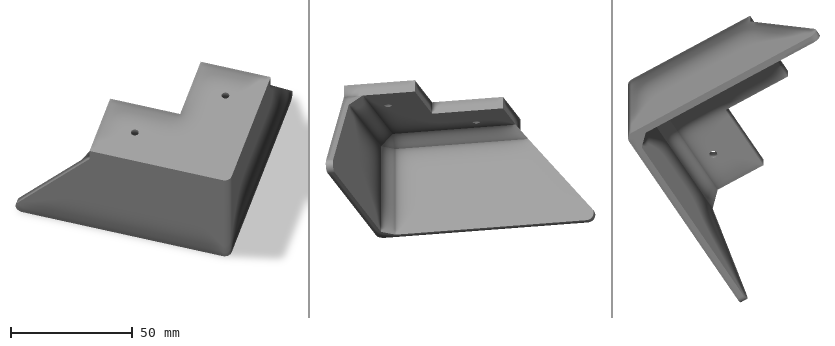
import cadquery as cq
import math

length = 91.8
height = 47.0
wall = 3.0
plate = 5.0
plate_side = 60.0
arm_width = plate_side / 2
web = 5.0
corner_radius = 3.0
foot_radius = 3.0
hole_diameter = 3.2

plate_end = length - plate_side
plate_bottom = height - plate
inner = length - wall


def wall_profile():
    """Side outline: distance from the tip along the wall, and height."""
    run = plate_end - foot_radius
    rise = plate_bottom - foot_radius
    reach = math.hypot(run, rise)
    angle = math.atan2(rise, run) + math.asin(foot_radius / reach)

    def tip_point(direction):
        return (
            foot_radius * (1 + math.cos(direction)),
            foot_radius * (1 + math.sin(direction)),
        )

    return (
        cq.Workplane("XZ")
        .moveTo(foot_radius, 0)
        .threePointArc((0, foot_radius), tip_point(math.pi / 2 + angle))
        .lineTo(plate_end, plate_bottom)
        .lineTo(plate_end, height)
        .lineTo(length, height)
        .lineTo(length, 0)
        .close()
    )


def make_wall():
    """Wall along X with its outer face on Y = 0."""
    return wall_profile().extrude(-wall)


def make_plate_web():
    """Triangular web under the plate, trimmed to the wall outline."""
    web_bar = (
        cq.Workplane("YZ")
        .moveTo(wall, plate_bottom)
        .lineTo(wall + web, plate_bottom)
        .lineTo(wall, plate_bottom - web)
        .close()
        .extrude(inner)
    )
    return web_bar.intersect(wall_profile().extrude(-length))


def mirror_across_diagonal(body):
    """Swap the two walls about the vertical plane through the outer corner."""
    middle = (length / 2, length / 2, 0)
    return body.mirror(cq.Vector(1, 1, 0), middle)


def make_plate():
    """L-shaped top plate."""
    return (
        cq.Workplane("XY", origin=(0, 0, plate_bottom))
        .moveTo(plate_end, 0)
        .lineTo(length, 0)
        .lineTo(length, plate_side)
        .lineTo(length - arm_width, plate_side)
        .lineTo(length - arm_width, arm_width)
        .lineTo(plate_end, arm_width)
        .close()
        .extrude(plate)
    )


def make_corner_web():
    """Vertical triangular web between the two walls."""
    return (
        cq.Workplane("XY")
        .moveTo(inner, wall)
        .lineTo(inner - web, wall)
        .lineTo(inner, wall + web)
        .close()
        .extrude(plate_bottom)
    )


def make_corner_block():
    """Cube where the three webs meet, with one triangular facet joining their ends."""
    block = cq.Workplane("XY", origin=(inner - web, wall, plate_bottom - web)).box(
        web, web, web, centered=False
    )
    facet_plane = cq.Plane(
        origin=(inner - web, wall, plate_bottom - web),
        normal=(-1, 1, -1),
    )
    beyond_facet = cq.Workplane(facet_plane).rect(4 * web, 4 * web).extrude(web)
    return block.cut(beyond_facet)


wall_with_web = make_wall().union(make_plate_web())
body = make_plate().union(wall_with_web).union(mirror_across_diagonal(wall_with_web))
body = body.union(make_corner_web()).union(make_corner_block())
outer_edge = cq.selectors.NearestToPointSelector((length, 0, height / 2))
body = body.edges(outer_edge).fillet(corner_radius)

half_arm = arm_width / 2
hole_centres = [
    (plate_end + half_arm, half_arm),
    (length - half_arm, plate_side - half_arm),
]
holes = (
    cq.Workplane("XY", origin=(0, 0, plate_bottom))
    .pushPoints(hole_centres)
    .circle(hole_diameter / 2)
    .extrude(plate)
)
result = body.cut(holes)